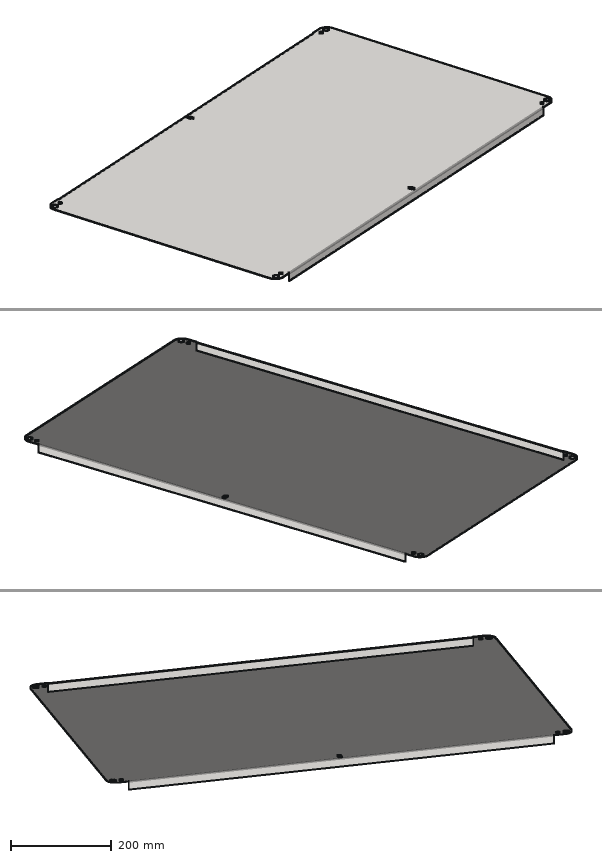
import cadquery as cq

width = 564.0
length = 970.0
height = 19.0
thickness = 2.0
corner_radius = 19.0

flange_length = 887.0
bend_outer_radius = 2.4
bend_inner_radius = bend_outer_radius - thickness

hole_edge_inset = 13.0
mounting_hole_diameter = 13.0
mounting_hole_end_inset = hole_edge_inset
small_hole_diameter = 8.0
small_hole_end_inset = 30.0
slot_length = 15.0
slot_width = small_hole_diameter

hole_x = width / 2 - hole_edge_inset


def make_plate():
    """Flat sheet with rounded corners, top face at full height."""
    plate = cq.Workplane("XY").workplane(offset=height - thickness)
    return plate.rect(width, length).extrude(thickness).edges("|Z").fillet(corner_radius)


def make_channel():
    """Bent sheet: top web and both flanges, with rounded bends."""
    outer = cq.Workplane("XY").box(width, flange_length, height, centered=(True, True, False))
    outer = outer.edges("|Y and >Z").fillet(bend_outer_radius)
    inner = cq.Workplane("XY").box(
        width - 2 * thickness, flange_length, height - thickness, centered=(True, True, False)
    )
    inner = inner.edges("|Y and >Z").fillet(bend_inner_radius)
    return outer.cut(inner)


def make_bend_clearance():
    """Plate margin that is replaced by the bends along the flanges."""
    margin = cq.Workplane("XY").box(width, flange_length, height, centered=(True, True, False))
    web = cq.Workplane("XY").box(
        width - 2 * bend_outer_radius, flange_length, height, centered=(True, True, False)
    )
    return margin.cut(web)


def make_holes():
    """Through cutters: two round holes per corner and a slot halfway along each side."""
    base = cq.Workplane("XY")
    cutters = base.pushPoints([(-hole_x, 0), (hole_x, 0)]).slot2D(slot_length, slot_width).extrude(height)
    for diameter, end_inset in (
        (mounting_hole_diameter, mounting_hole_end_inset),
        (small_hole_diameter, small_hole_end_inset),
    ):
        corners = base.rect(2 * hole_x, length - 2 * end_inset, forConstruction=True).vertices()
        cutters = cutters.add(corners.circle(diameter / 2).extrude(height))
    return cutters.combine()


result = make_plate().cut(make_bend_clearance()).union(make_channel()).cut(make_holes())